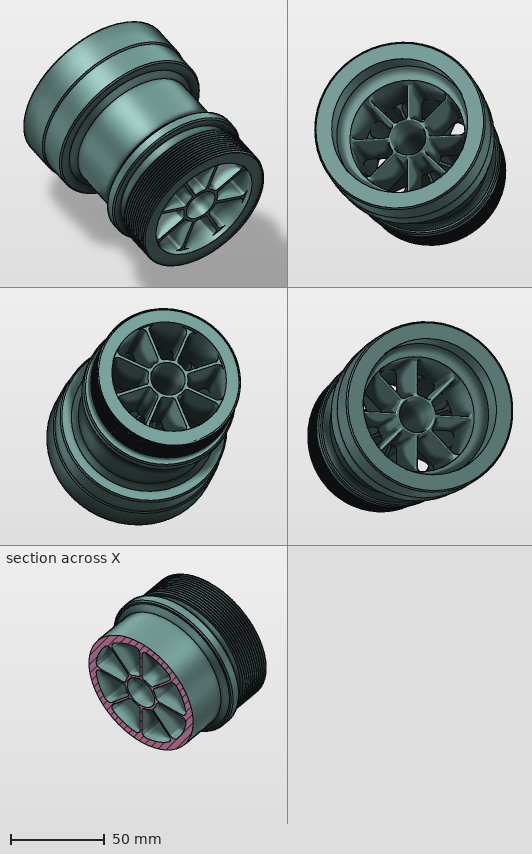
import cadquery as cq
import math

TOTAL_LENGTH = 103.17
COLLAR_RADIUS = 46.23
COLLAR_END = 19.0
COLLAR_STEP = 0.75
SHOULDER_RADIUS = 45.4
SHOULDER_END = 33.9
EDGE_CHAMFER = 0.8
BARREL_RADIUS = 36.25
CONE_LENGTH = 3.2
FLANGE_RADIUS = 41.3
FLANGE_FRONT = 71.5
FLANGE_END = 77.8
NECK_RADIUS = 36.5
THREAD_START = 84.0

THREAD_PITCH = 1.5875
THREAD_CREST_RADIUS = 39.1
THREAD_DEPTH = 0.97
THREAD_ROOT_RADIUS = THREAD_CREST_RADIUS - THREAD_DEPTH
CREST_FLAT = THREAD_PITCH / 8
HALF_THREAD_ANGLE = math.radians(30)
ROOT_OVERLAP = 0.2
FIRST_TOP_CREST = THREAD_START + 2.4
LEAD_IN_TURNS = 3

SOCKET_RADIUS = 36.9
SOCKET_LIP = 15.5
RELIEF_RADIUS = 40.6
SOCKET_DEPTH = 23.4
BORE_RADIUS = 31.15

RIB_COUNT = 8
HUB_RADIUS = 10.9
HUB_BORE_RADIUS = 9.3
SPIDER_INSET = 3.2
SPIDER_FRONT = SOCKET_DEPTH + SPIDER_INSET
HUB_PROUD = 0.3
HUB_FRONT = SPIDER_FRONT - HUB_PROUD
SPIDER_END = TOTAL_LENGTH - SPIDER_INSET
SPIDER_MIDDLE = (SPIDER_FRONT + SPIDER_END) / 2
FRONT_RIB_THICKNESS = 1.5
REAR_RIB_THICKNESS = 1.6
WALL_FILLET = 3.0
HUB_FILLET = 1.8
WALL_BACKING = 1.5

ROOT_MARGIN = 0.5
ROOT_HALF_WIDTH = 1.2


def ring(outer_radius, inner_radius, start, end):
    """Tube about the X axis between two X positions."""
    return (
        cq.Workplane("YZ", origin=(start, 0, 0))
        .circle(outer_radius)
        .circle(inner_radius)
        .extrude(end - start)
    )


def bored_body():
    """Revolved shell: collar, shoulder, barrel, flange, neck, threaded spigot, socket and bore."""
    cone_top = BARREL_RADIUS + CONE_LENGTH
    outline = (
        cq.Workplane("XY")
        .moveTo(0, SOCKET_RADIUS)
        .lineTo(0, COLLAR_RADIUS - EDGE_CHAMFER)
        .lineTo(EDGE_CHAMFER, COLLAR_RADIUS)
        .lineTo(COLLAR_END - COLLAR_STEP, COLLAR_RADIUS)
        .lineTo(COLLAR_END, SHOULDER_RADIUS)
        .lineTo(SHOULDER_END - EDGE_CHAMFER, SHOULDER_RADIUS)
        .lineTo(SHOULDER_END, SHOULDER_RADIUS - EDGE_CHAMFER)
        .lineTo(SHOULDER_END, cone_top)
        .lineTo(SHOULDER_END + CONE_LENGTH, BARREL_RADIUS)
        .lineTo(FLANGE_FRONT - CONE_LENGTH, BARREL_RADIUS)
        .lineTo(FLANGE_FRONT, cone_top)
        .lineTo(FLANGE_FRONT, FLANGE_RADIUS - EDGE_CHAMFER)
        .lineTo(FLANGE_FRONT + EDGE_CHAMFER, FLANGE_RADIUS)
        .lineTo(FLANGE_END - EDGE_CHAMFER, FLANGE_RADIUS)
        .lineTo(FLANGE_END, FLANGE_RADIUS - EDGE_CHAMFER)
        .lineTo(FLANGE_END, NECK_RADIUS)
        .lineTo(THREAD_START, NECK_RADIUS)
        .lineTo(THREAD_START, THREAD_ROOT_RADIUS)
        .lineTo(TOTAL_LENGTH, THREAD_ROOT_RADIUS)
        .lineTo(TOTAL_LENGTH, BORE_RADIUS)
        .lineTo(SOCKET_DEPTH, BORE_RADIUS)
        .lineTo(SOCKET_DEPTH, RELIEF_RADIUS)
        .lineTo(SOCKET_LIP, RELIEF_RADIUS)
        .lineTo(SOCKET_LIP, SOCKET_RADIUS)
        .close()
    )
    return outline.revolve(360, (0, 0, 0), (1, 0, 0))


def thread_ridge():
    """Helical V ridge, trimmed square at both ends of the threaded length."""
    base_half = CREST_FLAT / 2 + (THREAD_DEPTH + ROOT_OVERLAP) * math.tan(HALF_THREAD_ANGLE)
    length = TOTAL_LENGTH - THREAD_START + LEAD_IN_TURNS * THREAD_PITCH
    helix = cq.Wire.makeHelix(THREAD_PITCH, length, THREAD_ROOT_RADIUS)
    ridge = (
        cq.Workplane("XZ")
        .polyline(
            [
                (THREAD_ROOT_RADIUS - ROOT_OVERLAP, -base_half),
                (THREAD_CREST_RADIUS, -CREST_FLAT / 2),
                (THREAD_CREST_RADIUS, CREST_FLAT / 2),
                (THREAD_ROOT_RADIUS - ROOT_OVERLAP, base_half),
            ]
        )
        .close()
        .sweep(cq.Workplane(helix), isFrenet=True)
    )
    helix_start = FIRST_TOP_CREST - LEAD_IN_TURNS * THREAD_PITCH
    ridge = (
        ridge.rotate((0, 0, 0), (0, 0, 1), 180)
        .rotate((0, 0, 0), (0, 1, 0), 90)
        .translate((helix_start, 0, 0))
    )
    trim = ring(FLANGE_RADIUS, BORE_RADIUS, THREAD_START, TOTAL_LENGTH)
    return ridge.intersect(trim)


def strip(workplane, start, end, middle, thickness, rounded_nose):
    """Strip sketch along X; its leading end is a full round or square."""
    half = thickness / 2
    if rounded_nose:
        nose = (
            workplane.moveTo(start + half, middle - half)
            .threePointArc((start, middle), (start + half, middle + half))
        )
    else:
        nose = workplane.moveTo(start, middle - half).lineTo(start, middle + half)
    return nose.lineTo(end, middle + half).lineTo(end, middle - half).close()


def ring_slice(outer_radius, inner_radius, start, end, rounded_nose=False):
    """Slice of a tube spanning one rib pitch, centred on the +Z direction."""
    pitch_angle = 360 / RIB_COUNT
    middle = (outer_radius + inner_radius) / 2
    section = strip(cq.Workplane("XZ"), start, end, middle, outer_radius - inner_radius, rounded_nose)
    slice_from_z = section.revolve(pitch_angle, (0, 0, 0), (1, 0, 0))
    return slice_from_z.rotate((0, 0, 0), (1, 0, 0), -pitch_angle / 2)


def rib_plate(thickness, start, end, rounded_nose=False):
    """Radial plate on the +Z side, its ends sunk into the hub and the bore wall."""
    inner = (HUB_RADIUS + HUB_BORE_RADIUS) / 2
    outer = BORE_RADIUS + WALL_BACKING / 2
    base = cq.Workplane("XY", origin=(0, 0, inner))
    return strip(base, start, end, 0, thickness, rounded_nose).extrude(outer - inner)


def fillet_root(rib, radius, start, end, fillet):
    """Blend a rib into the cylinder of the given radius, leaving the far end square."""
    root = cq.selectors.BoxSelector(
        (start - ROOT_MARGIN, -ROOT_HALF_WIDTH, radius - ROOT_MARGIN),
        (end - ROOT_MARGIN, ROOT_HALF_WIDTH, radius + ROOT_MARGIN),
    )
    return rib.edges(root).fillet(fillet)


def front_rib():
    """Round-nosed rib with its hub and wall slices; the root blends wrap around the nose."""
    rib = rib_plate(FRONT_RIB_THICKNESS, SPIDER_FRONT, SPIDER_MIDDLE, rounded_nose=True)
    hub = ring_slice(HUB_RADIUS, HUB_BORE_RADIUS, HUB_FRONT, SPIDER_MIDDLE, rounded_nose=True)
    wall = ring_slice(BORE_RADIUS + WALL_BACKING, BORE_RADIUS, SOCKET_DEPTH, SPIDER_MIDDLE)
    joined = fillet_root(hub.union(rib), HUB_RADIUS, HUB_FRONT, SPIDER_MIDDLE, HUB_FILLET)
    return fillet_root(joined.union(wall), BORE_RADIUS, SPIDER_FRONT, SPIDER_MIDDLE, WALL_FILLET)


def rear_rib():
    """Square-ended rib with its hub and wall slices, set midway between two front ribs."""
    rib = rib_plate(REAR_RIB_THICKNESS, SPIDER_MIDDLE, SPIDER_END)
    hub = ring_slice(HUB_RADIUS, HUB_BORE_RADIUS, SPIDER_MIDDLE, SPIDER_END)
    wall = ring_slice(BORE_RADIUS + WALL_BACKING, BORE_RADIUS, SPIDER_MIDDLE, SPIDER_END)
    joined = hub.union(rib).union(wall)
    for radius, fillet in ((HUB_RADIUS, HUB_FILLET), (BORE_RADIUS, WALL_FILLET)):
        root = cq.selectors.BoxSelector(
            (SPIDER_MIDDLE, -ROOT_HALF_WIDTH, radius - ROOT_MARGIN),
            (SPIDER_END, ROOT_HALF_WIDTH, radius + ROOT_MARGIN),
        )
        joined = joined.edges("|X").edges(root).fillet(fillet)
    return joined.rotate((0, 0, 0), (1, 0, 0), 180 / RIB_COUNT)


def spider(rib):
    """Full turn of one rib; the slices close up into the hub and the wall."""
    pitch_angle = 360 / RIB_COUNT
    turns = [rib.rotate((0, 0, 0), (1, 0, 0), index * pitch_angle) for index in range(RIB_COUNT)]
    whole = turns[0]
    for turn in turns[1:]:
        whole = whole.union(turn)
    return whole


result = (
    bored_body()
    .union(spider(front_rib()))
    .union(spider(rear_rib()))
    .clean()
    .union(thread_ridge())
)